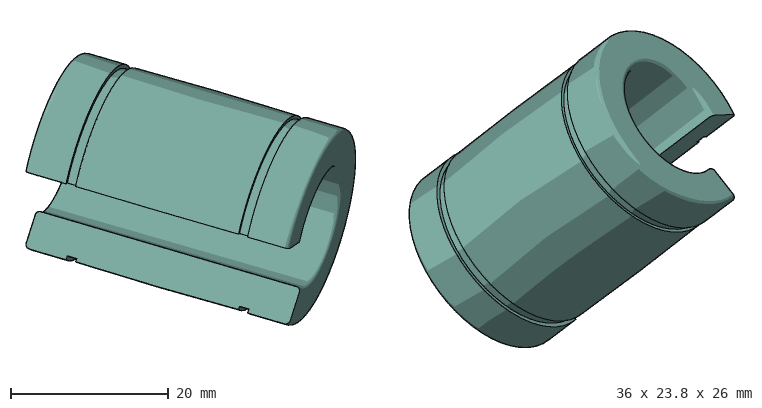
import cadquery as cq
import math

length = 36.0
outer_diameter = 26.0
bore_diameter = 16.0
edge_radius = 0.6
opening_angle = 68.0

groove_spacing = 24.75
groove_width = 1.25
groove_diameter = 24.9
crown_drop = 0.1

outer_radius = outer_diameter / 2
bore_radius = bore_diameter / 2
groove_radius = groove_diameter / 2
groove_outer_x = groove_spacing / 2
groove_inner_x = groove_outer_x - groove_width
barrel_end_radius = outer_radius - crown_drop


def sleeve():
    """Closed tube with rounded end edges."""
    tube = (
        cq.Workplane("YZ")
        .circle(outer_radius)
        .circle(bore_radius)
        .extrude(length / 2, both=True)
    )
    return tube.faces("<X or >X").edges().fillet(edge_radius)


def groove_and_crown_cutter():
    """Ring removing both retaining grooves and crowning the barrel between them."""
    clear_radius = outer_radius + edge_radius
    return (
        cq.Workplane("XY")
        .moveTo(-groove_outer_x, clear_radius)
        .lineTo(-groove_outer_x, groove_radius)
        .lineTo(-groove_inner_x, groove_radius)
        .lineTo(-groove_inner_x, barrel_end_radius)
        .threePointArc((0, outer_radius), (groove_inner_x, barrel_end_radius))
        .lineTo(groove_inner_x, groove_radius)
        .lineTo(groove_outer_x, groove_radius)
        .lineTo(groove_outer_x, clear_radius)
        .close()
        .revolve(360, (0, 0, 0), (1, 0, 0))
    )


def slot_cutter():
    """Wedge from the axis toward -Y that opens the sleeve along its length."""
    reach = outer_diameter
    half_height = reach * math.tan(math.radians(opening_angle / 2))
    return (
        cq.Workplane("YZ")
        .polyline([(0, 0), (-reach, half_height), (-reach, -half_height)])
        .close()
        .extrude(length, both=True)
    )


result = sleeve().cut(groove_and_crown_cutter()).cut(slot_cutter())